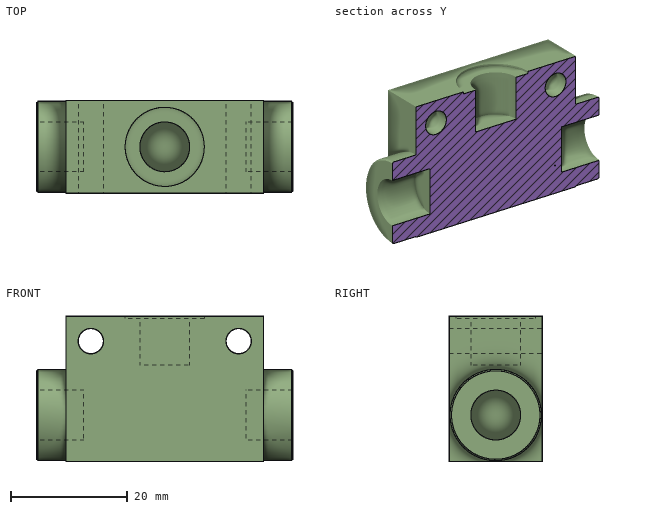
import cadquery as cq

block_length = 34.0
block_width = 16.0
block_height = 25.0

overall_length = 44.0
boss_diameter = 15.7
boss_length = (overall_length - block_length) / 2
boss_axis_height = block_width / 2
boss_chamfer = 0.25

port_diameter = 8.57
port_depth = 8.0

recess_diameter = 13.6
recess_depth = 0.4

mounting_hole_diameter = 4.3
mounting_hole_spacing = 25.4
mounting_hole_drop = 4.3
mounting_hole_height = block_height - mounting_hole_drop


def make_block():
    return cq.Workplane("XY").box(block_length, block_width, block_height, centered=(True, True, False))


def end_plane(side):
    """Plane on the outer end of a boss, with its normal pointing outward (side is -1 or +1)."""
    origin = (side * overall_length / 2, 0, boss_axis_height)
    return cq.Plane(origin=origin, xDir=(0, 1, 0), normal=(side, 0, 0))


def make_boss(side):
    boss = cq.Workplane(end_plane(side)).circle(boss_diameter / 2).extrude(-boss_length)
    outer_end = ">X" if side > 0 else "<X"
    return boss.faces(outer_end).chamfer(boss_chamfer)


def make_side_port(side):
    return cq.Workplane(end_plane(side)).circle(port_diameter / 2).extrude(-port_depth)


def make_top_port():
    top = cq.Workplane("XY").workplane(offset=block_height)
    recess = top.circle(recess_diameter / 2).extrude(-recess_depth)
    bore = top.circle(port_diameter / 2).extrude(-(recess_depth + port_depth))
    return recess.union(bore)


def make_mounting_hole(side):
    return (
        cq.Workplane("XZ")
        .center(side * mounting_hole_spacing / 2, mounting_hole_height)
        .circle(mounting_hole_diameter / 2)
        .extrude(block_width / 2, both=True)
    )


sides = (-1, 1)
result = make_block()
for side in sides:
    result = result.union(make_boss(side))
for side in sides:
    result = result.cut(make_side_port(side))
    result = result.cut(make_mounting_hole(side))
result = result.cut(make_top_port())